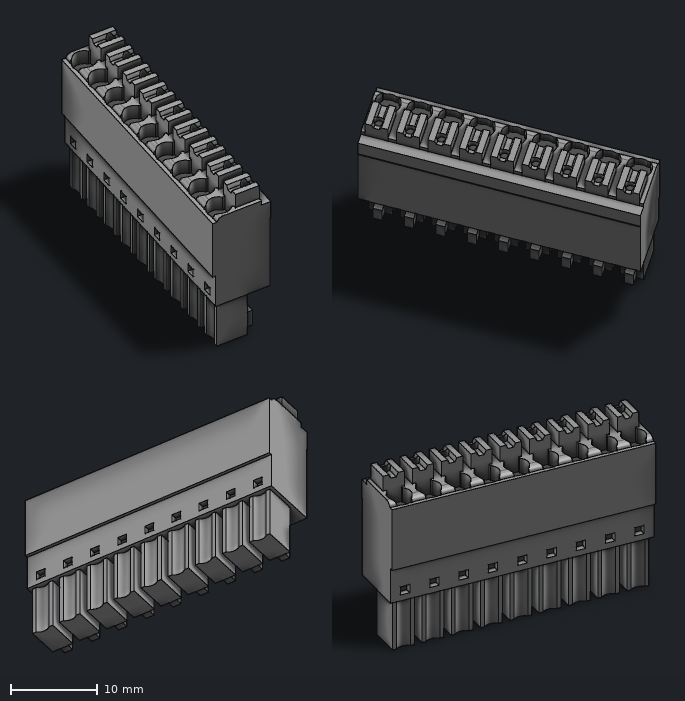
import cadquery as cq

pole_count = 9
housing_length = 34.3
pitch = housing_length / pole_count

depth = 7.9
base_z = 6.62
shoulder_z = 19.4
ridge_top_z = 20.03
front_step_y = 0.4
front_step_z = 11.25
back_step = 0.1
back_step_z = 16.85
ridge_front_y = 0.55
ridge_back_y = 6.62
ridge_round_radius = 0.95

entry_radius = 1.5
entry_y = 1.95
entry_notch_width = 2.0
entry_floor_z = 18.05

window_width = 1.2
window_bottom_z = 7.4
window_height = 1.1
window_depth = 0.8

prong_width = 2.85
prong_front_y = 0.82
prong_back_y = 4.97
prong_groove_width = 1.82
prong_groove_depth = 0.35

tab_width = 1.13
tab_back_y = 6.2
tab_bottom_z = 0.3
tab_top_z = 2.57

lever_width = 2.78
lever_front_y = 3.4
lever_top_z = 22.0
lever_groove_top_width = 1.2
lever_groove_floor_width = 0.7
lever_groove_depth = 0.5
lever_hole_diameter = 1.2
lever_hole_y = 5.6
lever_hole_depth = 1.37

pole_centers = [pitch * (index + 0.5) for index in range(pole_count)]


def block(center_x, width, y_range, z_range):
    """Box centred on center_x, spanning the given Y and Z ranges."""
    y_min, y_max = y_range
    z_min, z_max = z_range
    return (
        cq.Workplane("XY")
        .box(width, y_max - y_min, z_max - z_min, centered=(True, False, False))
        .translate((center_x, y_min, z_min))
    )


def housing_body():
    """Stepped housing section with a rounded ridge, extruded along X."""
    round_drop = ridge_top_z - shoulder_z
    round_center_z = ridge_top_z - ridge_round_radius
    round_run = (ridge_round_radius**2 - (ridge_round_radius - round_drop) ** 2) ** 0.5
    round_end_y = ridge_front_y + round_run
    diagonal = ridge_round_radius * 0.5**0.5
    return (
        cq.Workplane("YZ")
        .moveTo(front_step_y, base_z)
        .lineTo(front_step_y, front_step_z)
        .lineTo(0, front_step_z)
        .lineTo(0, shoulder_z)
        .lineTo(ridge_front_y, shoulder_z)
        .threePointArc(
            (round_end_y - diagonal, round_center_z + diagonal),
            (round_end_y, ridge_top_z),
        )
        .lineTo(ridge_back_y, ridge_top_z)
        .lineTo(ridge_back_y, shoulder_z)
        .lineTo(depth, shoulder_z)
        .lineTo(depth, back_step_z)
        .lineTo(depth - back_step, back_step_z)
        .lineTo(depth - back_step, base_z)
        .close()
        .extrude(housing_length)
    )


def wire_entry(center_x):
    """Round entry pocket with a straight notch running from the front rim to the lever."""
    entry_height = ridge_top_z - entry_floor_z
    bore = (
        cq.Workplane("XY")
        .circle(entry_radius)
        .extrude(entry_height)
        .translate((center_x, entry_y, entry_floor_z))
    )
    notch = block(
        center_x, entry_notch_width, (ridge_front_y, lever_front_y), (entry_floor_z, ridge_top_z)
    )
    return bore.union(notch)


def lever_slot(center_x):
    """Pocket that holds a lever, open at the back above the shoulder."""
    return block(center_x, lever_width, (lever_front_y, ridge_back_y), (entry_floor_z, ridge_top_z))


def test_window(center_x):
    """Blind rectangular window in the lower front face."""
    return block(
        center_x,
        window_width,
        (front_step_y, front_step_y + window_depth),
        (window_bottom_z, window_bottom_z + window_height),
    )


def prong(center_x):
    """Contact prong with a shallow round groove in front and a latch tab behind."""
    half_groove = prong_groove_width / 2
    groove_radius = (half_groove**2 + prong_groove_depth**2) / (2 * prong_groove_depth)
    post = block(center_x, prong_width, (prong_front_y, prong_back_y), (0, base_z))
    groove = (
        cq.Workplane("XY")
        .circle(groove_radius)
        .extrude(base_z)
        .translate((center_x, prong_front_y + prong_groove_depth - groove_radius, 0))
    )
    tab = block(center_x, tab_width, (prong_back_y, tab_back_y), (tab_bottom_z, tab_top_z))
    return post.cut(groove).union(tab)


def make_housing():
    housing = housing_body()
    for center_x in pole_centers:
        housing = (
            housing.cut(wire_entry(center_x))
            .cut(lever_slot(center_x))
            .cut(test_window(center_x))
            .union(prong(center_x))
        )
    return housing


def make_lever(center_x):
    """Release lever with a tapered screwdriver groove and a round test hole."""
    groove_floor_z = lever_top_z - lever_groove_depth
    body = block(center_x, lever_width, (lever_front_y, ridge_back_y), (entry_floor_z, lever_top_z))
    groove = (
        cq.Workplane("XZ", origin=(center_x, ridge_back_y, 0))
        .moveTo(-lever_groove_top_width / 2, lever_top_z)
        .lineTo(-lever_groove_floor_width / 2, groove_floor_z)
        .lineTo(lever_groove_floor_width / 2, groove_floor_z)
        .lineTo(lever_groove_top_width / 2, lever_top_z)
        .close()
        .extrude(ridge_back_y - lever_front_y)
    )
    test_hole = (
        cq.Workplane("XY")
        .circle(lever_hole_diameter / 2)
        .extrude(lever_hole_depth)
        .translate((center_x, lever_hole_y, lever_top_z - lever_hole_depth))
    )
    return body.cut(groove).cut(test_hole)


housing = make_housing()
levers = [make_lever(center_x) for center_x in pole_centers]

result = cq.Compound.makeCompound([housing.val(), *[lever.val() for lever in levers]])